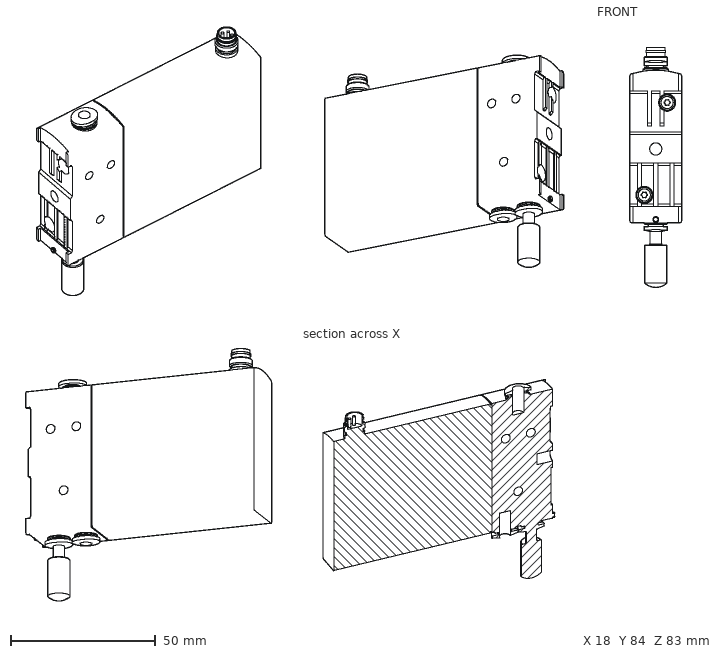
import cadquery as cq
import math


LENGTH = 84.0
WIDTH = 18.0
CROWN_HEIGHT = 52.75
SHOULDER_HEIGHT = 51.3
EDGE_RADIUS = 0.8

JOINT_Y = 24.0
JOINT_GAP = 0.3
JOINT_INSET = 0.5

WING_WIDTH = 1.2
FACE_Y = 0.9
RECESS_Y = 1.85
RECESS_SLOPE_Y = 1.4
RECESS_SLOPE_HEIGHT = 0.8
UPPER_RECESS_TOP = 45.6
UPPER_RECESS_BOTTOM = 30.5
LOWER_RECESS_TOP = 20.7
LOWER_RECESS_BOTTOM = 5.6

UPPER_RIB_OFFSET = 2.2
UPPER_RIB_WIDTH = 1.3
UPPER_RIB_BOTTOM = 33.5
LOWER_RIB_OFFSET = 5.6
LOWER_RIB_WIDTH = 1.5
LOWER_RIB_Y = RECESS_SLOPE_Y

CENTRE_HOLE_DIAMETER = 4.2
CENTRE_HOLE_Z = 25.5
CENTRE_HOLE_DEPTH = 6.7
SCREW_HOLE_DIAMETER = 5.9
SCREW_SEAT_DEPTH = 11.8
SCREW_PLACES = [(3.95, 41.6), (-3.95, 9.7)]
SCREW_FLANGE_DIAMETER = 5.2
SCREW_FLANGE_HEIGHT = 0.7
SCREW_HEAD_DIAMETER = 4.2
SCREW_HEAD_HEIGHT = 2.0
SCREW_HEAD_ROUND = 1.0
SCREW_SOCKET_DIAMETER = 1.7
SCREW_LOBE_COUNT = 6
SCREW_LOBE_DIAMETER = 0.5
SCREW_SOCKET_DEPTH = 1.0

PIN_Z = 1.2
PIN_HEAD_DIAMETER = 2.0
PIN_HEAD_THICKNESS = 0.5
PIN_HEAD_CHAMFER = 0.25
PIN_NECK_DIAMETER = 1.5

CROSS_HOLE_DIAMETER = 3.2
CROSS_HOLE_PLACES = [(9.15, 37.0), (18.65, 37.0), (13.95, 14.4)]

FITTING_BASE_DIAMETER = 8.0
FITTING_BASE_HEIGHT = 0.6
FITTING_BASE_CHAMFER = 0.3
FITTING_NECK_DIAMETER = 5.2
RING_BOTTOM = 1.3
RING_RIM = 2.35
RING_TOP = 2.9
RING_LENGTH = 9.8
RING_WIDTH = 8.15
RING_FLAT_WIDTH = 8.0
RING_CROWN_DIAMETER = 4.4
TUBE_DIAMETER = 4.0
TUBE_HOLE_DEPTH = 10.1
TOP_FITTING_Y = 13.95
TOP_BOSS_DIAMETER = 8.9
TOP_BOSS_Z = 53.1
FRONT_FITTING_Y = 8.9
BACK_FITTING_Y = 18.9

SILENCER_DIAMETER = 7.7
SILENCER_TOP = -7.6
SILENCER_BOTTOM = -20.8
SILENCER_TIP = -22.35
SILENCER_CHAMFER = 0.3
SILENCER_COLLAR_DIAMETER = 4.2
SILENCER_COLLAR_HEIGHT = 0.3

CONNECTOR_Y = 75.9
CONNECTOR_TOP = 60.65
CONNECTOR_BASE_DIAMETER = 7.7
CONNECTOR_BASE_TOP = 53.9
CONNECTOR_BODY_DIAMETER = 6.5
COLLAR_DIAMETER = 8.0
COLLAR_BOTTOM = 54.9
COLLAR_TOP = 57.5
COLLAR_CHAMFER = 0.4
BEAD_DIAMETER = 6.9
BEAD_BOTTOM = 58.8
BEAD_TOP = 59.5
SOCKET_DIAMETER = 5.5
SOCKET_FLOOR = 56.3
CONTACT_DIAMETER = 1.0
CONTACT_TOP = 59.6
CONTACT_CIRCLE_RADIUS = 1.85
CONTACT_ANGLES = [-15, 55, 125, 195]

ROOT_DEPTH = 2.5


def cylinder_z(diameter, y, bottom, top):
    """Upright cylinder on the middle plane X = 0."""
    return cq.Workplane("XY", origin=(0, y, bottom)).circle(diameter / 2).extrude(top - bottom)


def cylinder_y(diameter, x, z, front, back):
    """Cylinder along Y between two depths."""
    return cq.Workplane("XZ", origin=(x, front, z)).circle(diameter / 2).extrude(front - back)


def box_between(x_range, y_range, z_range):
    size = [high - low for low, high in (x_range, y_range, z_range)]
    corner = (x_range[0], y_range[0], z_range[0])
    return cq.Workplane("XY").box(*size, centered=False).translate(corner)


def crowned_block(front, back, inset=0.0):
    """Length of the common section: flat sides and base, arched top, rounded long edges."""
    side = WIDTH / 2 - inset
    block = (
        cq.Workplane("XZ", origin=(0, front, 0))
        .moveTo(-side, inset)
        .lineTo(side, inset)
        .lineTo(side, SHOULDER_HEIGHT - inset)
        .threePointArc((0, CROWN_HEIGHT - inset), (-side, SHOULDER_HEIGHT - inset))
        .close()
        .extrude(front - back)
    )
    return block.edges("|Y").fillet(EDGE_RADIUS)


def front_relief():
    """Material removed from the front: both recesses and the space between the wings."""
    upper_lip = UPPER_RECESS_TOP - RECESS_SLOPE_HEIGHT
    upper_ledge = UPPER_RECESS_BOTTOM + RECESS_Y - FACE_Y
    lower_lip = LOWER_RECESS_TOP - RECESS_SLOPE_HEIGHT
    lower_ledge = LOWER_RECESS_BOTTOM + RECESS_SLOPE_HEIGHT
    outline = [
        (0, UPPER_RECESS_TOP),
        (RECESS_SLOPE_Y, UPPER_RECESS_TOP),
        (RECESS_Y, upper_lip),
        (RECESS_Y, upper_ledge),
        (FACE_Y, UPPER_RECESS_BOTTOM),
        (FACE_Y, LOWER_RECESS_TOP),
        (RECESS_SLOPE_Y, LOWER_RECESS_TOP),
        (RECESS_Y, lower_lip),
        (RECESS_Y, lower_ledge),
        (RECESS_SLOPE_Y, LOWER_RECESS_BOTTOM),
        (0, LOWER_RECESS_BOTTOM),
    ]
    recesses = cq.Workplane("YZ").polyline(outline).close().extrude(WIDTH / 2, both=True)
    inner_side = WIDTH / 2 - WING_WIDTH
    between_wings = box_between((-inner_side, inner_side), (0, FACE_Y), (0, CROWN_HEIGHT))
    return recesses.union(between_wings)


def upper_rib(x):
    """Rib flush with the front face, sloped at its lower end."""
    outline = [
        (FACE_Y, UPPER_RECESS_TOP),
        (RECESS_Y, UPPER_RECESS_TOP),
        (RECESS_Y, UPPER_RIB_BOTTOM),
        (FACE_Y, UPPER_RIB_BOTTOM + RECESS_Y - FACE_Y),
    ]
    plane = cq.Workplane("YZ", origin=(x, 0, 0))
    return plane.polyline(outline).close().extrude(UPPER_RIB_WIDTH / 2, both=True)


def lower_rib(x):
    half = LOWER_RIB_WIDTH / 2
    z_range = (LOWER_RECESS_BOTTOM, LOWER_RECESS_TOP)
    return box_between((x - half, x + half), (LOWER_RIB_Y, RECESS_Y), z_range)


def recessed_screw(x, z):
    """Flanged, rounded screw head with a six-lobe socket, standing on the floor of its hole."""
    flange_top = SCREW_SEAT_DEPTH - SCREW_FLANGE_HEIGHT
    flange = cylinder_y(SCREW_FLANGE_DIAMETER, x, z, flange_top, SCREW_SEAT_DEPTH)
    top = SCREW_SEAT_DEPTH - SCREW_HEAD_HEIGHT
    head = cylinder_y(SCREW_HEAD_DIAMETER, x, z, top, SCREW_SEAT_DEPTH)
    head = head.faces("<Y").edges().fillet(SCREW_HEAD_ROUND)
    socket_floor = top + SCREW_SOCKET_DEPTH
    socket = cylinder_y(SCREW_SOCKET_DIAMETER, x, z, top, socket_floor)
    for index in range(SCREW_LOBE_COUNT):
        angle = 2 * math.pi * index / SCREW_LOBE_COUNT
        lobe_x = x + SCREW_SOCKET_DIAMETER / 2 * math.cos(angle)
        lobe_z = z + SCREW_SOCKET_DIAMETER / 2 * math.sin(angle)
        socket = socket.union(cylinder_y(SCREW_LOBE_DIAMETER, lobe_x, lobe_z, top, socket_floor))
    return flange.union(head).cut(socket)


def headed_pin():
    neck = cylinder_y(PIN_NECK_DIAMETER, 0, PIN_Z, 0, FACE_Y)
    head = cylinder_y(PIN_HEAD_DIAMETER, 0, PIN_Z, 0, PIN_HEAD_THICKNESS)
    return neck.union(head.faces("<Y").edges().chamfer(PIN_HEAD_CHAMFER))


def fitting(y):
    """Push-in fitting seated on Z = 0 and pointing up, with an oval release ring."""
    base = cylinder_z(FITTING_BASE_DIAMETER, y, 0, FITTING_BASE_HEIGHT)
    base = base.faces(">Z").edges().chamfer(FITTING_BASE_CHAMFER)
    neck = cylinder_z(FITTING_NECK_DIAMETER, y, 0, RING_BOTTOM)
    oval = (
        cq.Workplane("XY", origin=(0, y, RING_BOTTOM))
        .ellipse(RING_WIDTH / 2, RING_LENGTH / 2)
        .extrude(RING_TOP - RING_BOTTOM)
    )
    half_flat = RING_FLAT_WIDTH / 2
    half_length = RING_LENGTH / 2
    flats = box_between(
        (-half_flat, half_flat),
        (y - half_length, y + half_length),
        (RING_BOTTOM, RING_TOP),
    )
    crown = (
        cq.Workplane("XY", origin=(0, y, RING_RIM))
        .circle(RING_LENGTH / 2)
        .workplane(offset=RING_TOP - RING_RIM)
        .circle(RING_CROWN_DIAMETER / 2)
        .loft()
    )
    turned = cylinder_z(RING_LENGTH, y, RING_BOTTOM, RING_RIM).union(crown)
    return base.union(neck).union(oval.intersect(flats).intersect(turned))


def lower_fitting(y):
    return fitting(y).mirror("XY")


def silencer():
    """Tube with a round-ended cylinder hanging from it."""
    radius = SILENCER_DIAMETER / 2
    dome_height = SILENCER_BOTTOM - SILENCER_TIP
    dome_radius = (radius**2 + dome_height**2) / (2 * dome_height)
    dome_drop = dome_radius - math.sqrt(dome_radius**2 - (radius / 2) ** 2)
    dome_point = (radius / 2, SILENCER_TIP + dome_drop)
    cap = (
        cq.Workplane("XZ")
        .moveTo(0, SILENCER_TOP)
        .lineTo(radius - SILENCER_CHAMFER, SILENCER_TOP)
        .lineTo(radius, SILENCER_TOP - SILENCER_CHAMFER)
        .lineTo(radius, SILENCER_BOTTOM)
        .threePointArc(dome_point, (0, SILENCER_TIP))
        .close()
        .revolve(360, (0, 0, 0), (0, 1, 0))
        .translate((0, FRONT_FITTING_Y, 0))
    )
    tube = cylinder_z(TUBE_DIAMETER, FRONT_FITTING_Y, SILENCER_TOP, 0)
    collar_top = SILENCER_TOP + SILENCER_COLLAR_HEIGHT
    collar = cylinder_z(SILENCER_COLLAR_DIAMETER, FRONT_FITTING_Y, SILENCER_TOP, collar_top)
    return cap.union(tube).union(collar)


def valve_block():
    block = crowned_block(0, JOINT_Y).cut(front_relief())
    for x in (-UPPER_RIB_OFFSET, UPPER_RIB_OFFSET):
        block = block.union(upper_rib(x))
    for x in (-LOWER_RIB_OFFSET, 0, LOWER_RIB_OFFSET):
        block = block.union(lower_rib(x))
    block = block.cut(cylinder_y(CENTRE_HOLE_DIAMETER, 0, CENTRE_HOLE_Z, 0, CENTRE_HOLE_DEPTH))
    for x, z in SCREW_PLACES:
        block = block.cut(cylinder_y(SCREW_HOLE_DIAMETER, x, z, FACE_Y, SCREW_SEAT_DEPTH))
        block = block.union(recessed_screw(x, z))
    block = block.union(headed_pin())
    for y, z in CROSS_HOLE_PLACES:
        hole = cq.Workplane("YZ", origin=(0, y, z)).circle(CROSS_HOLE_DIAMETER / 2)
        block = block.cut(hole.extrude(WIDTH / 2, both=True))

    top_boss = cylinder_z(TOP_BOSS_DIAMETER, TOP_FITTING_Y, CROWN_HEIGHT - ROOT_DEPTH, TOP_BOSS_Z)
    block = block.union(top_boss).union(fitting(TOP_FITTING_Y).translate((0, 0, TOP_BOSS_Z)))
    top_end = TOP_BOSS_Z + RING_TOP
    block = block.cut(cylinder_z(TUBE_DIAMETER, TOP_FITTING_Y, top_end - TUBE_HOLE_DEPTH, top_end))
    block = block.union(lower_fitting(BACK_FITTING_Y))
    block = block.cut(cylinder_z(TUBE_DIAMETER, BACK_FITTING_Y, -RING_TOP, TUBE_HOLE_DEPTH - RING_TOP))
    return block.union(lower_fitting(FRONT_FITTING_Y)).union(silencer())


def connector():
    """Stepped round plug with a socket that holds four contacts."""
    plug = cylinder_z(CONNECTOR_BODY_DIAMETER, CONNECTOR_Y, CONNECTOR_BASE_TOP, CONNECTOR_TOP)
    base_bottom = CROWN_HEIGHT - ROOT_DEPTH
    plug = plug.union(cylinder_z(CONNECTOR_BASE_DIAMETER, CONNECTOR_Y, base_bottom, CONNECTOR_BASE_TOP))
    collar = cylinder_z(COLLAR_DIAMETER, CONNECTOR_Y, COLLAR_BOTTOM, COLLAR_TOP)
    plug = plug.union(collar.edges().chamfer(COLLAR_CHAMFER))
    plug = plug.union(cylinder_z(BEAD_DIAMETER, CONNECTOR_Y, BEAD_BOTTOM, BEAD_TOP))
    plug = plug.cut(cylinder_z(SOCKET_DIAMETER, CONNECTOR_Y, SOCKET_FLOOR, CONNECTOR_TOP))
    contact_places = []
    for degrees in CONTACT_ANGLES:
        angle = math.radians(degrees)
        contact_x = CONTACT_CIRCLE_RADIUS * math.cos(angle)
        contact_y = CONTACT_CIRCLE_RADIUS * math.sin(angle)
        contact_places.append((contact_x, contact_y))
    contacts = (
        cq.Workplane("XY", origin=(0, CONNECTOR_Y, SOCKET_FLOOR))
        .pushPoints(contact_places)
        .circle(CONTACT_DIAMETER / 2)
        .extrude(CONTACT_TOP - SOCKET_FLOOR)
    )
    return plug.union(contacts)


def rear_housing():
    """Long housing whose front end is an inset step that leaves a groove at the joint."""
    housing = crowned_block(JOINT_Y + JOINT_GAP, LENGTH)
    step = crowned_block(JOINT_Y, JOINT_Y + JOINT_GAP, JOINT_INSET)
    return housing.union(step).union(connector())


valve = valve_block()
housing = rear_housing()
result = cq.Compound.makeCompound([*valve.solids().vals(), *housing.solids().vals()])